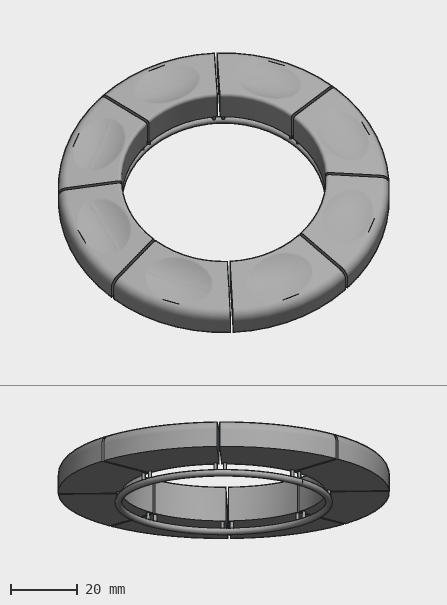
import cadquery as cq
import math

OUTER_RADIUS = 49.5
INNER_RADIUS = 30.5
CREST_HEIGHT = 10.77
TOP_SLOPE = math.radians(9)
OUTER_ROUND = 3.0
INNER_ROUND = 1.0

SEGMENT_COUNT = 8
SEGMENT_ANGLE = 360 / SEGMENT_COUNT
GAP_WIDTH = 0.8

DISH_CENTER_RADIUS = 39.4
DISH_HALF_LENGTH = 11.0
DISH_HALF_WIDTH = 7.4
DISH_DEPTH = 1.5
DISH_EDGE_ROUND = 1.1

RING_RADIUS = 31.5
RING_WIRE_RADIUS = 1.0
RING_CLEARANCE = 2.0
RING_CENTER_Z = -(RING_CLEARANCE + RING_WIRE_RADIUS)
PIN_RADIUS = 0.5
PIN_OFFSET = 1.4
PIN_EMBED = 0.5


def cone_height(radius):
    """Height of the conical top at a distance from the Z axis."""
    tangent_radius = INNER_RADIUS + INNER_ROUND * (1 + math.sin(TOP_SLOPE))
    tangent_height = CREST_HEIGHT - INNER_ROUND * (1 - math.cos(TOP_SLOPE))
    return tangent_height - (radius - tangent_radius) * math.tan(TOP_SLOPE)


def make_annulus():
    """Full turn of the body section, with both top edges rounded."""
    inner_x = INNER_RADIUS + INNER_ROUND
    inner_z = CREST_HEIGHT - INNER_ROUND
    outer_x = OUTER_RADIUS - OUTER_ROUND
    outer_z = cone_height(outer_x) - OUTER_ROUND / math.cos(TOP_SLOPE)

    def on_round(center_x, center_z, radius, angle):
        return center_x + radius * math.cos(angle), center_z + radius * math.sin(angle)

    normal = math.pi / 2 - TOP_SLOPE
    inner_middle = on_round(inner_x, inner_z, INNER_ROUND, (math.pi + normal) / 2)
    inner_end = on_round(inner_x, inner_z, INNER_ROUND, normal)
    outer_start = on_round(outer_x, outer_z, OUTER_ROUND, normal)
    outer_middle = on_round(outer_x, outer_z, OUTER_ROUND, normal / 2)
    return (
        cq.Workplane("XZ")
        .moveTo(INNER_RADIUS, 0)
        .lineTo(INNER_RADIUS, inner_z)
        .threePointArc(inner_middle, inner_end)
        .lineTo(*outer_start)
        .threePointArc(outer_middle, (OUTER_RADIUS, outer_z))
        .lineTo(OUTER_RADIUS, 0)
        .close()
        .revolve(360, (0, 0, 0), (0, 1, 0))
    )


def make_sector():
    """Wedge around the +X axis, half a gap short of the full segment angle."""
    half_angle = math.radians(SEGMENT_ANGLE / 2)
    apex_x = GAP_WIDTH / 2 / math.sin(half_angle)
    reach = 2 * OUTER_RADIUS
    half_spread = (reach - apex_x) * math.tan(half_angle)
    return (
        cq.Workplane("XY")
        .polyline([(apex_x, 0), (reach, -half_spread), (reach, half_spread)])
        .close()
        .extrude(CREST_HEIGHT)
    )


def make_dish_cutters():
    """Two halves of a spindle turned about a tangential axis above the sloping top."""
    length_radius = (DISH_HALF_LENGTH**2 + DISH_DEPTH**2) / (2 * DISH_DEPTH)
    width_radius = (DISH_HALF_WIDTH**2 + DISH_DEPTH**2) / (2 * DISH_DEPTH)
    axis_height = width_radius - DISH_DEPTH
    half_axis = math.sqrt(length_radius**2 - (length_radius - width_radius) ** 2)
    plane = cq.Plane(
        origin=(DISH_CENTER_RADIUS, 0, cone_height(DISH_CENTER_RADIUS)),
        xDir=(0, 1, 0),
        normal=(math.cos(TOP_SLOPE), 0, -math.sin(TOP_SLOPE)),
    )
    halves = []
    for axis_direction in (1, -1):
        half = (
            cq.Workplane(plane)
            .moveTo(-half_axis, axis_height)
            .threePointArc((0, -DISH_DEPTH), (half_axis, axis_height))
            .close()
            .revolve(180, (0, axis_height, 0), (axis_direction, axis_height, 0))
        )
        halves.append(half)
    return halves


def make_segment():
    """One segment, centred on the +X axis, with its rounded dish."""
    segment = make_annulus().intersect(make_sector())
    for cutter in make_dish_cutters():
        segment = segment.cut(cutter, clean=False)
    dish = segment.faces("%REVOLUTION")
    rim = dish.edges().filter(lambda edge: edge.geomType() == "BSPLINE")
    return rim.fillet(DISH_EDGE_ROUND)


def make_ring():
    """Round wire bent into a full ring below the segments."""
    ring = cq.Solid.makeTorus(RING_RADIUS, RING_WIRE_RADIUS)
    return cq.Workplane(ring).translate((0, 0, RING_CENTER_Z))


def make_pin_pair():
    """Two pins straddling the gap on the +X axis."""
    return (
        cq.Workplane("XY", origin=(0, 0, -RING_CLEARANCE - PIN_EMBED))
        .pushPoints([(RING_RADIUS, -PIN_OFFSET), (RING_RADIUS, PIN_OFFSET)])
        .circle(PIN_RADIUS)
        .extrude(RING_CLEARANCE + 2 * PIN_EMBED)
    )


def around(shape, first_angle):
    """Solids of a shape copied once per segment, turned about the Z axis."""
    solids = []
    for index in range(SEGMENT_COUNT):
        angle = first_angle + index * SEGMENT_ANGLE
        solids.extend(shape.rotate((0, 0, 0), (0, 0, 1), angle).solids().vals())
    return solids


def make_part():
    """Ring, pins and segments joined in one operation."""
    pins = around(make_pin_pair(), 0)
    segments = around(make_segment(), SEGMENT_ANGLE / 2)
    return cq.Workplane(make_ring().val().fuse(*pins, *segments)).solids()


result = make_part()